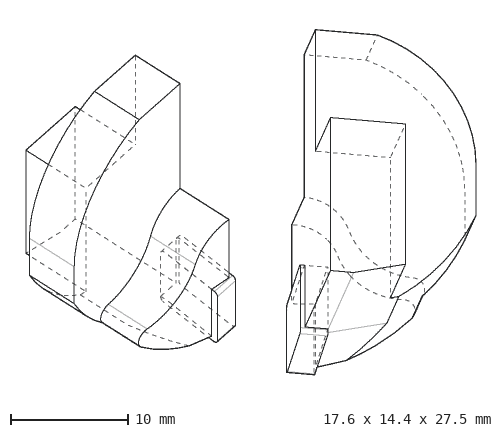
import cadquery as cq
import math

shank_length = 6.7
shank_depth = 6.52
shank_top = 15.98
disc_end = 11.72
head_depth = 13.97
head_top = 27.5
top_flat_depth = 5.4
lower_radius = 20.08
lower_center_y = 4.45
lower_center_z = 19.2

boss_reach = 17.2
end_angle = 6.8
boss_top = 14.0
boss_crest_radius = 4.12
boss_valley_radius = 5.88
boss_turn = 71.0
nose_radius = 1.02
nose_end_angle = 40.0

flat_bottom = 1.48
underside_angle = 15.0
overhang_start = 12.02
overhang_angle = 11.0

insert_start = 11.25
insert_end = 17.6
insert_height = 7.48
insert_angle = 10.0
insert_corner_radius = 0.4
insert_front = -2.0
insert_back = 0.38


def extrude_along_x(section, start, end):
    """Extrude a closed YZ section between two X positions."""
    return section.extrude(end - start).translate((start, 0, 0))


def lower_arc_z(y):
    """Height of the big lower arc at a given Y."""
    return lower_center_z - math.sqrt(lower_radius**2 - (y - lower_center_y) ** 2)


def close_along_lower_arc(section, start_y):
    """Follow the lower arc to the back face and close the section."""
    middle_y = start_y / 2
    return section.threePointArc((middle_y, lower_arc_z(middle_y)), (0, lower_arc_z(0))).close()


def make_disc():
    arc_depth = head_depth - top_flat_depth
    arc_height = head_top - shank_top
    upper_radius = (arc_depth**2 + arc_height**2) / (2 * arc_depth)
    start_angle = math.asin(arc_height / upper_radius)
    middle_angle = start_angle / 2
    center_y = upper_radius - head_depth
    arc_middle = (
        center_y - upper_radius * math.cos(middle_angle),
        shank_top + upper_radius * math.sin(middle_angle),
    )
    section = (
        cq.Workplane("YZ")
        .moveTo(0, head_top)
        .lineTo(-top_flat_depth, head_top)
        .threePointArc(arc_middle, (-head_depth, shank_top))
        .lineTo(-head_depth, lower_arc_z(-head_depth))
    )
    return extrude_along_x(close_along_lower_arc(section, -head_depth), shank_length, disc_end)


def make_shank():
    section = cq.Workplane("YZ").rect(-shank_depth, shank_top, centered=False)
    return extrude_along_x(section, 0, shank_length)


def make_boss():
    turn = math.radians(boss_turn)
    half_turn = turn / 2
    crest_center_z = boss_top - boss_crest_radius
    joint = (-boss_crest_radius * math.sin(turn), crest_center_z + boss_crest_radius * math.cos(turn))
    valley_center_y = joint[0] - boss_valley_radius * math.sin(turn)
    valley_center_z = joint[1] + boss_valley_radius * math.cos(turn)
    valley_end_z = valley_center_z - boss_valley_radius
    nose_center_z = valley_end_z - nose_radius
    nose_end = math.radians(nose_end_angle)
    nose_end_y = valley_center_y - nose_radius * math.cos(nose_end)
    section = (
        cq.Workplane("YZ")
        .moveTo(0, boss_top)
        .threePointArc(
            (-boss_crest_radius * math.sin(half_turn), crest_center_z + boss_crest_radius * math.cos(half_turn)),
            joint,
        )
        .threePointArc(
            (
                valley_center_y + boss_valley_radius * math.sin(half_turn),
                valley_center_z - boss_valley_radius * math.cos(half_turn),
            ),
            (valley_center_y, valley_end_z),
        )
        .threePointArc(
            (valley_center_y - nose_radius, nose_center_z),
            (nose_end_y, nose_center_z - nose_radius * math.sin(nose_end)),
        )
        .lineTo(nose_end_y, lower_arc_z(nose_end_y))
    )
    boss = extrude_along_x(close_along_lower_arc(section, nose_end_y), disc_end, insert_end)
    front_reach = boss_reach - head_depth * math.tan(math.radians(end_angle))
    plan = (
        cq.Workplane("XY")
        .polyline([(disc_end, 0), (boss_reach, 0), (front_reach, -head_depth), (disc_end, -head_depth)])
        .close()
        .extrude(head_top)
    )
    return boss.intersect(plan)


def make_underside_envelope():
    """Space above the underside: level along the shank and disc, dropping beneath the boss."""
    drop = (insert_end - overhang_start) * math.tan(math.radians(overhang_angle))
    rise = (head_depth + insert_front) * math.tan(math.radians(underside_angle))
    ceiling = head_top + drop
    corners = [
        (0, ceiling),
        (0, flat_bottom),
        (insert_front, flat_bottom),
        (-head_depth, flat_bottom + rise),
        (-head_depth, ceiling),
    ]
    level = extrude_along_x(cq.Workplane("YZ").polyline(corners).close(), 0, overhang_start)
    outline = cq.Wire.makePolygon([cq.Vector(overhang_start, y, z) for y, z in corners], close=True)
    dropping = cq.Solid.extrudeLinear(outline, [], cq.Vector(insert_end - overhang_start, 0, -drop))
    return level.union(cq.Workplane(obj=dropping))


def make_insert():
    """Parallelogram plate with rounded corners; its rounded lower corner touches Z = 0."""
    slope = math.radians(insert_angle)
    corner_overrun = insert_corner_radius * (math.tan(slope) + 1 / math.cos(slope) - 1)
    fall = (insert_end - insert_start) * math.tan(slope)
    low = -corner_overrun
    high = insert_height + corner_overrun
    corners = [(insert_start, low + fall), (insert_end, low), (insert_end, high - fall), (insert_start, high)]
    return (
        cq.Workplane("XZ", origin=(0, insert_back, 0))
        .polyline(corners)
        .close()
        .extrude(insert_back - insert_front)
        .edges("|Y")
        .fillet(insert_corner_radius)
    )


def make_holder(insert):
    blank = make_disc().union(make_shank()).union(make_boss())
    return blank.intersect(make_underside_envelope()).cut(insert)


insert = make_insert()
holder = make_holder(insert)
result = cq.Compound.makeCompound([holder.solids().val(), insert.solids().val()])